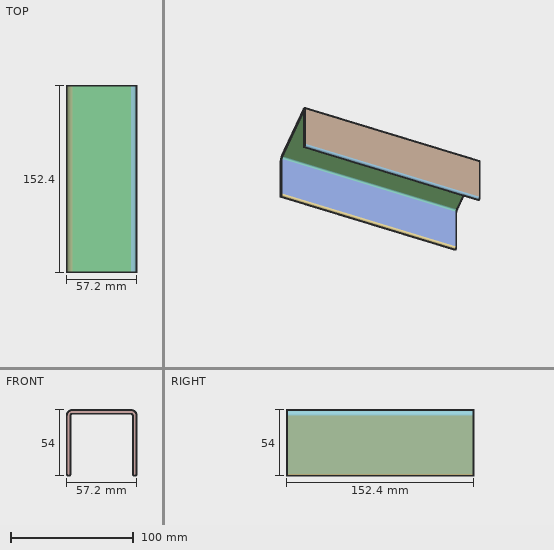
import cadquery as cq

length = 152.4
width = 57.2
height = 54.0
wall = 3.2
inner_bend_radius = 1.5
outer_bend_radius = inner_bend_radius + wall
tip_radius = wall / 2

half_width = width / 2
half_inner_width = half_width - wall
top = height / 2
bottom = -height / 2
inner_top = top - wall
tip_center_z = bottom + tip_radius
leg_center_x = half_width - tip_radius


def channel_profile():
    """Closed U outline with rounded leg tips; bends are left sharp."""
    return (
        cq.Workplane("XZ")
        .moveTo(-half_width, tip_center_z)
        .lineTo(-half_width, top)
        .lineTo(half_width, top)
        .lineTo(half_width, tip_center_z)
        .threePointArc((leg_center_x, bottom), (half_inner_width, tip_center_z))
        .lineTo(half_inner_width, inner_top)
        .lineTo(-half_inner_width, inner_top)
        .lineTo(-half_inner_width, tip_center_z)
        .threePointArc((-leg_center_x, bottom), (-half_width, tip_center_z))
        .close()
    )


def bend_edges(body, half_span, level):
    """Pair of lengthwise edges at x = +/-half_span and z = level."""
    left = cq.selectors.NearestToPointSelector((-half_span, 0, level))
    right = cq.selectors.NearestToPointSelector((half_span, 0, level))
    return body.edges(left + right)


channel = channel_profile().extrude(length / 2, both=True)
channel = bend_edges(channel, half_width, top).fillet(outer_bend_radius)
result = bend_edges(channel, half_inner_width, inner_top).fillet(inner_bend_radius)